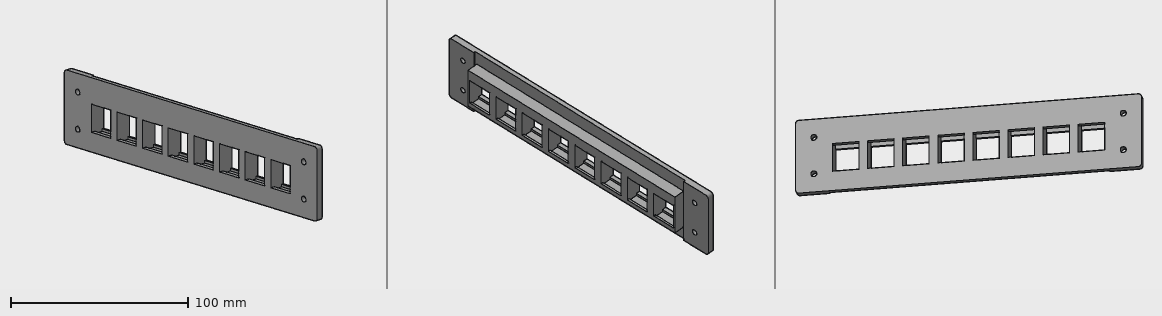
import cadquery as cq

plate_length = 199.8
plate_height = 44.4
ear_thickness = 4.2
web_length = 161.8
web_thickness = 3.0
corner_radius = 2.0

hole_diameter = 3.4
hole_spacing_x = 178.6
hole_spacing_z = 22.2

total_depth = 10.2
block_length = 159.5
block_height = 27.0
block_end_wall = 1.2

socket_count = 8
opening_width = 15.2
opening_height = 16.8
opening_center_z = -2.0
row_length = block_length - 2 * block_end_wall
socket_pitch = (row_length - opening_width) / (socket_count - 1)

front_lip = 2.8
rear_lip = 1.4
pocket_wall = 1.5
pocket_depth = total_depth - front_lip - rear_lip
pocket_height = block_height - 2 * pocket_wall


def box_from(length, height, y_start, depth):
    """Box centred on X and Z that runs from y_start toward +Y."""
    return cq.Workplane("XY").box(length, depth, height).translate((0, y_start + depth / 2, 0))


def make_plate():
    """Plate with rounded ends, relieved at the back between the ears."""
    plate = box_from(plate_length, plate_height, 0, ear_thickness).edges("|Y").fillet(corner_radius)
    relief = box_from(web_length, plate_height, web_thickness, ear_thickness - web_thickness)
    return plate.cut(relief)


def make_socket():
    """Cutter for one socket: a through opening with a taller pocket behind the front lip."""
    opening = box_from(opening_width, opening_height, 0, total_depth).translate((0, 0, opening_center_z))
    pocket = box_from(opening_width, pocket_height, front_lip, pocket_depth)
    return opening.union(pocket)


def make_mounting_holes():
    """Cutters for the four holes through the ears."""
    return (
        cq.Workplane("XZ")
        .rarray(hole_spacing_x, hole_spacing_z, 2, 2)
        .circle(hole_diameter / 2)
        .extrude(-ear_thickness)
    )


block = box_from(block_length, block_height, web_thickness, total_depth - web_thickness)
result = make_plate().union(block).cut(make_mounting_holes())

socket = make_socket()
for index in range(socket_count):
    socket_x = (index - (socket_count - 1) / 2) * socket_pitch
    result = result.cut(socket.translate((socket_x, 0, 0)))